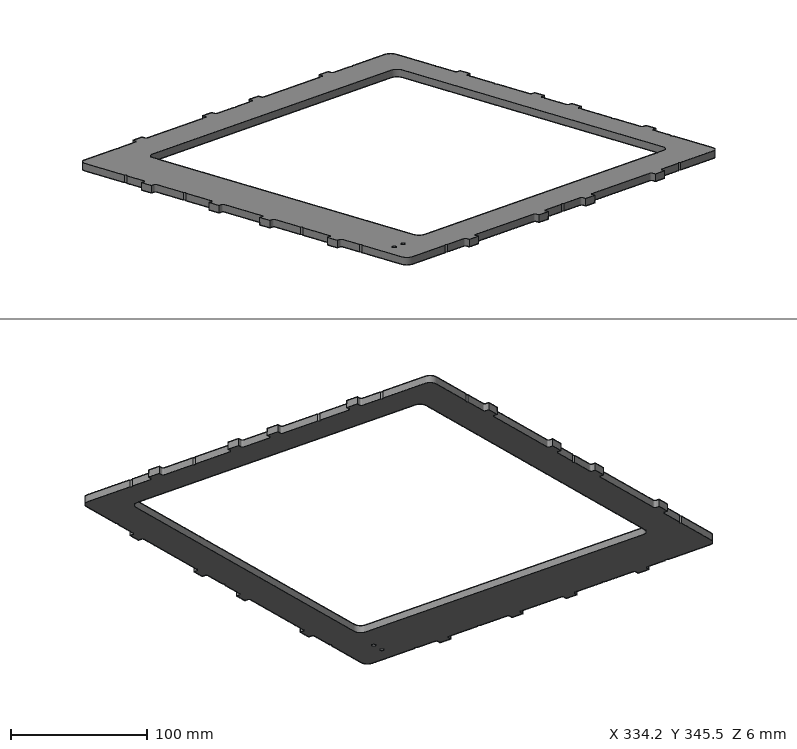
import cadquery as cq
import math

total_width = 334.2
total_length = 345.5
thickness = 6.0

tab_reach = 4.0
tab_width = 10.0
tab_root_radius = 1.5
side_tab_places = (25.2, 101.0)
front_tab_places = (25.2, 92.3)
back_tab_places = (18.3, 92.3)

plate_width = total_width - 2 * tab_reach
plate_length = total_length - 2 * tab_reach
plate_corner_radius = 6.0
window_size = 270.3
window_corner_radius = 6.0
back_rail = 23.5
window_y = plate_length / 2 - back_rail - window_size / 2

notch_radius = 1.5
notch_depth = 0.7
side_notch_places = (-126.5, 0, 126.5)
end_notch_places = (-116.8, -58.0, 58.0, 116.8)

hole_diameter = 3.0
hole_x = 138.0
hole_places_y = (-155.5, -146.0)


def mirrored(places):
    """Repeat each place on both sides of zero."""
    return [sign * place for place in places for sign in (-1, 1)]


def tab(edge_distance, place, turn):
    """Tab with rounded roots on an edge facing +Y, then turned about Z."""
    half = tab_width / 2
    foot = half + tab_root_radius
    inner = edge_distance - tab_root_radius
    root = edge_distance + tab_root_radius
    bulge = tab_root_radius * (1 - math.sin(math.pi / 4))
    outline = (
        cq.Workplane("XY")
        .moveTo(place - foot, inner)
        .lineTo(place - foot, edge_distance)
        .threePointArc((place - half - bulge, edge_distance + bulge), (place - half, root))
        .lineTo(place - half, edge_distance + tab_reach)
        .lineTo(place + half, edge_distance + tab_reach)
        .lineTo(place + half, root)
        .threePointArc((place + half + bulge, edge_distance + bulge), (place + foot, edge_distance))
        .lineTo(place + foot, inner)
        .close()
    )
    return outline.extrude(thickness).rotate((0, 0, 0), (0, 0, 1), turn)


def notches(edge_distance, places, turn):
    """Round cutters just biting into an edge facing +Y, then turned about Z."""
    centre = edge_distance + notch_radius - notch_depth
    points = [(place, centre) for place in places]
    cutters = cq.Workplane("XY").pushPoints(points).circle(notch_radius).extrude(thickness)
    return cutters.rotate((0, 0, 0), (0, 0, 1), turn)


result = (
    cq.Workplane("XY")
    .rect(plate_width, plate_length)
    .extrude(thickness)
    .edges("|Z")
    .fillet(plate_corner_radius)
)

window = (
    cq.Workplane("XY")
    .center(0, window_y)
    .rect(window_size, window_size)
    .extrude(thickness)
    .edges("|Z")
    .fillet(window_corner_radius)
)
result = result.cut(window)

edges = (
    (plate_length / 2, back_tab_places, end_notch_places, 0),
    (plate_width / 2, side_tab_places, side_notch_places, 90),
    (plate_length / 2, front_tab_places, end_notch_places, 180),
    (plate_width / 2, side_tab_places, side_notch_places, 270),
)
for edge_distance, tab_places, notch_places, turn in edges:
    for place in mirrored(tab_places):
        result = result.union(tab(edge_distance, place, turn))
    result = result.cut(notches(edge_distance, notch_places, turn))

result = (
    result.faces(">Z")
    .workplane(origin=(0, 0, thickness))
    .pushPoints([(hole_x, y) for y in hole_places_y])
    .hole(hole_diameter)
)